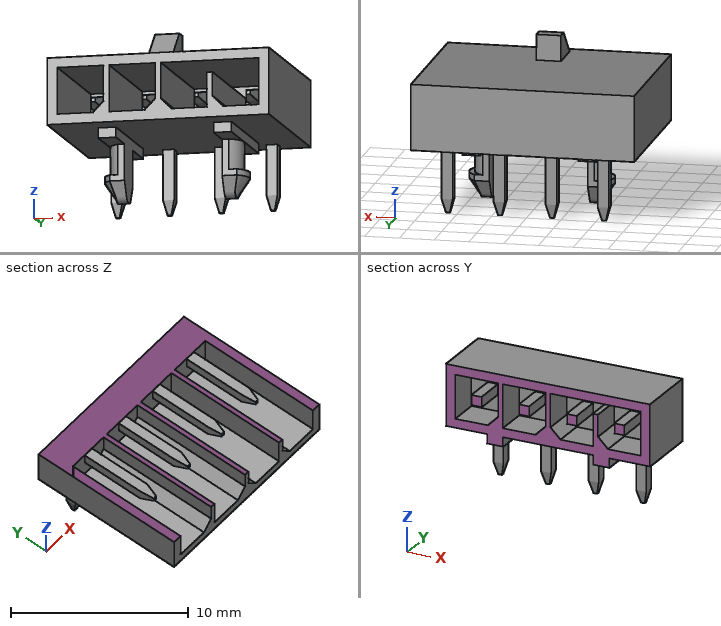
import cadquery as cq


body_width = 12.85
body_depth = 9.91
body_height = 3.83

circuits = 4
pitch = 3.0
cavity_size = 2.67
cavity_chamfer = 0.63
key_gap = 0.68
pin_from_back = 1.03
back_wall = 2 * pin_from_back
cavity_depth = body_depth - back_wall

pin_size = 0.64
pin_tip_size = 0.22
pin_taper = 0.82
leg_length = 3.73
contact_recess = pitch

latch_width = 1.41
latch_height = 1.49
latch_front = 0.59
latch_crest = 2.17
latch_back = 2.94

rail_inner_x = 2.83
rail_width = 1.03
rail_height = 0.58
rail_front = 1.59
rail_length = 6.49

peg_y = 4.61
peg_half_width = 1.0
stem_edge_x = 3.21
stem_crown_x = rail_inner_x + rail_width
barb_edge_x = 3.69
barb_crown_x = 4.18
barb_top = -2.31
barb_bottom = -2.66
nose_end_half_width = 0.36
nose_end_edge_x = 3.37
nose_end_crown_x = 3.4
tip_crown_x = 3.45
tip_top = -3.52
tip_half_width = 0.51
peg_bottom = -3.8

pin_z = body_height / 2
pin_y = body_depth - pin_from_back
pin_xs = [(i - (circuits - 1) / 2) * pitch for i in range(circuits)]


def block(x0, x1, y0, y1, z0, z1):
    """Axis-aligned box between two opposite corners."""
    return cq.Workplane("XY").box(x1 - x0, y1 - y0, z1 - z0, centered=False).translate((x0, y0, z0))


def cavity(x, chamfer_side):
    """Square cavity with one lower corner cut: +1 for the right corner, -1 for the left."""
    half = cavity_size / 2
    outline = [
        (-half, half),
        (half, half),
        (half, cavity_chamfer - half),
        (half - cavity_chamfer, -half),
        (-half, -half),
    ]
    points = [(x + chamfer_side * px, pin_z + pz) for px, pz in outline]
    return cq.Workplane("XZ").polyline(points).close().extrude(-cavity_depth)


def square_pin(length):
    """Pin along +Z from the origin, tapered on all four sides at its far end."""
    shaft_length = length - pin_taper
    shaft = cq.Workplane("XY").rect(pin_size, pin_size).extrude(shaft_length)
    tip = (
        cq.Workplane("XY", origin=(0, 0, shaft_length))
        .rect(pin_size, pin_size)
        .workplane(offset=pin_taper)
        .rect(pin_tip_size, pin_tip_size)
        .loft(ruled=True)
    )
    return shaft.union(tip)


def bent_pin(x):
    """Contact toward the mating face plus the solder leg, overlapping at the bend."""
    bend = pin_size / 2
    contact = square_pin(pin_y + bend - contact_recess).rotate((0, 0, 0), (1, 0, 0), 90)
    contact = contact.translate((x, pin_y + bend, pin_z))
    leg = square_pin(pin_z + bend + leg_length).rotate((0, 0, 0), (1, 0, 0), 180)
    leg = leg.translate((x, pin_y, pin_z + bend))
    return contact.union(leg)


def draw_bowed(plane, half_width, edge_x, crown_x):
    """Flat-backed outline whose outer side bows from edge_x out to crown_x."""
    return (
        plane.moveTo(rail_inner_x, -half_width)
        .lineTo(edge_x, -half_width)
        .threePointArc((crown_x, 0), (edge_x, half_width))
        .lineTo(rail_inner_x, half_width)
        .close()
    )


def board_peg():
    """Peg on the +X side, its flat back in line with the inner face of the rail."""
    stem_base = cq.Workplane("XY", origin=(0, 0, barb_top))
    stem = draw_bowed(stem_base, peg_half_width, stem_edge_x, stem_crown_x).extrude(-barb_top)

    barb_base = cq.Workplane("XY", origin=(0, 0, barb_bottom))
    barb = draw_bowed(barb_base, peg_half_width, barb_edge_x, barb_crown_x)
    barb = barb.extrude(barb_top - barb_bottom)

    nose = draw_bowed(barb_base, peg_half_width, barb_edge_x, barb_crown_x)
    nose = nose.workplane(offset=peg_bottom - barb_bottom)
    nose = draw_bowed(nose, nose_end_half_width, nose_end_edge_x, nose_end_crown_x).loft(ruled=True)
    tip = block(rail_inner_x, tip_crown_x, -tip_half_width, tip_half_width, peg_bottom, tip_top)

    profile = (
        cq.Workplane("YZ")
        .moveTo(-peg_half_width, barb_bottom)
        .lineTo(-tip_half_width, tip_top)
        .threePointArc((0, peg_bottom), (tip_half_width, tip_top))
        .lineTo(peg_half_width, barb_bottom)
        .close()
        .extrude(barb_crown_x)
    )
    nose = nose.union(tip).intersect(profile)
    return stem.union(barb).union(nose).translate((0, peg_y, 0))


def latch():
    """Ramp that rises from the front to a short flat crest."""
    roof = body_height
    crest = roof + latch_height
    profile = [(latch_front, roof), (latch_crest, crest), (latch_back, crest), (latch_back, roof)]
    return cq.Workplane("YZ").polyline(profile).close().extrude(latch_width / 2, both=True)


result = block(-body_width / 2, body_width / 2, 0, body_depth, 0, body_height)
for x in pin_xs:
    result = result.cut(cavity(x, 1 if x < 0 else -1))

cavity_top = pin_z + cavity_size / 2
opening = block(pin_xs[-2], pin_xs[-1], 0, cavity_depth, cavity_top - key_gap, cavity_top)
result = result.cut(opening)

result = result.union(latch())

rail = block(
    rail_inner_x, rail_inner_x + rail_width, rail_front, rail_front + rail_length, -rail_height, 0
)
mount = rail.union(board_peg())
result = result.union(mount).union(mount.mirror("YZ"))

for x in pin_xs:
    result = result.union(bent_pin(x))